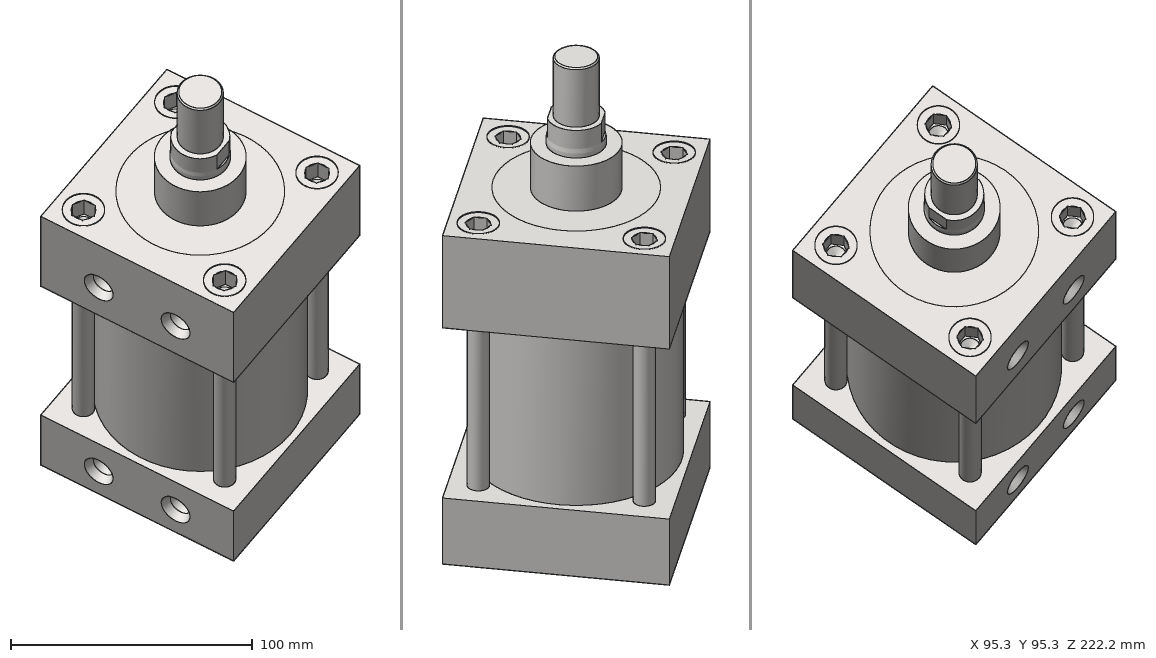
import cadquery as cq
import math

block_side = 95.3
cap_height = 32.0
tube_length = 82.2
tube_diameter = 89.0
head_height = 44.7
head_base = cap_height + tube_length
head_top = head_base + head_height

tie_rod_spacing = 69.8
tie_rod_diameter = 9.3
socket_recess_diameter = 17.5
socket_recess_depth = 0.5
socket_width_across_flats = 9.5
socket_depth = 9.0
socket_point_diameter = 8.2
socket_countersink_diameter = 10.2

gland_diameter = 69.8
gland_depth = 11.1
neck_diameter = 38.0
neck_height = 21.8
gland_base = head_top - gland_depth
neck_top = head_top + neck_height

overall_height = 222.2
rod_diameter = 25.1
shoulder_height = 2.0
collar_diameter = 24.5
collar_base = neck_top + 4.0
collar_top = 193.8
flats_width = 22.7
stud_diameter = 19.1
stud_chamfer = 0.7

port_spacing = 38.0
head_port_height = 131.8
cap_port_height = 14.5
port_mouth_diameter = 14.2
port_bore_diameter = 10.2
port_mouth_depth = 3.8
port_depth = 9.0

cone_slope = 0.6


def cylinder(diameter, base, height):
    """Upright cylinder on the main axis."""
    return cq.Workplane("XY").workplane(offset=base).circle(diameter / 2).extrude(height)


def square_block(base, height):
    return cq.Workplane("XY").workplane(offset=base).rect(block_side, block_side).extrude(height)


def at_tie_rods(base):
    """Work plane at the given height, with a point on each tie rod axis."""
    plane = cq.Workplane("XY").workplane(offset=base)
    return plane.rect(tie_rod_spacing, tie_rod_spacing, forConstruction=True).vertices()


def drill_ports(block, height):
    """Cut a pair of ports with tapered mouths and conical ends into the front face."""
    mouth_radius = port_mouth_diameter / 2
    bore_radius = port_bore_diameter / 2
    profile = [
        (0, 0),
        (mouth_radius, 0),
        (bore_radius, port_mouth_depth),
        (bore_radius, port_depth),
        (0, port_depth + bore_radius * cone_slope),
    ]
    port = cq.Workplane("XY").polyline(profile).close().revolve(360, (0, 0, 0), (0, 1, 0))
    for side in (-1, 1):
        block = block.cut(port.translate((side * port_spacing / 2, -block_side / 2, height)))
    return block


def cones_at_tie_rods(diameter, top):
    """Cones on the tie rod axes, pointing down from the given height."""
    radius = diameter / 2
    height = radius * cone_slope
    cone = cq.Solid.makeCone(0, radius, height)
    return at_tie_rods(top - height).eachpoint(cone.moved)


def cut_sockets(head):
    """Cut a shallow round recess and a countersunk hex socket with a drill point above each tie rod."""
    recess_floor = head_top - socket_recess_depth
    socket_floor = recess_floor - socket_depth
    width_across_corners = socket_width_across_flats / math.cos(math.pi / 6)
    recesses = at_tie_rods(recess_floor).circle(socket_recess_diameter / 2).extrude(socket_recess_depth)
    countersinks = cones_at_tie_rods(socket_countersink_diameter, recess_floor)
    sockets = at_tie_rods(socket_floor).polygon(6, width_across_corners).extrude(socket_depth)
    points = cones_at_tie_rods(socket_point_diameter, socket_floor)
    return head.cut(recesses).cut(countersinks).cut(sockets).cut(points)


def make_frame():
    """Cap, tube and tie rods."""
    cap = drill_ports(square_block(0, cap_height), cap_port_height)
    tube = cylinder(tube_diameter, cap_height, tube_length)
    tie_rods = at_tie_rods(cap_height).circle(tie_rod_diameter / 2).extrude(tube_length)
    return cap.union(tube).union(tie_rods)


def make_head():
    """Head block with ports, tie rod sockets and a recess for the gland."""
    head = drill_ports(square_block(head_base, head_height), head_port_height)
    gland_recess = cylinder(gland_diameter, gland_base, gland_depth)
    return cut_sockets(head).cut(gland_recess)


def make_gland():
    """Flush disc and neck, bored for the rod."""
    disc = cylinder(gland_diameter, gland_base, gland_depth)
    neck = cylinder(neck_diameter, head_top, neck_height)
    rod_hole = cylinder(rod_diameter, gland_base, gland_depth + neck_height)
    return disc.union(neck).cut(rod_hole)


def make_rod():
    """Stepped rod that starts at the underside of the gland."""
    rod_radius = rod_diameter / 2
    collar_radius = collar_diameter / 2
    stud_radius = stud_diameter / 2
    profile = [
        (0, gland_base),
        (rod_radius, gland_base),
        (rod_radius, neck_top + shoulder_height),
        (collar_radius, collar_base),
        (collar_radius, collar_top),
        (stud_radius, collar_top),
        (stud_radius, overall_height - stud_chamfer),
        (stud_radius - stud_chamfer, overall_height),
        (0, overall_height),
    ]
    rod = cq.Workplane("XZ").polyline(profile).close().revolve(360, (0, 0, 0), (0, 1, 0))

    flat_cutter = cq.Workplane("XY").box(rod_diameter, rod_diameter, collar_top - collar_base)
    cutter_x = (flats_width + rod_diameter) / 2
    cutter_z = (collar_base + collar_top) / 2
    for side in (-1, 1):
        rod = rod.cut(flat_cutter.translate((side * cutter_x, 0, cutter_z)))
    return rod


frame = make_frame()
head = make_head()
gland = make_gland()
rod = make_rod()

result = cq.Compound.makeCompound([frame.val(), head.val(), gland.val(), rod.val()])